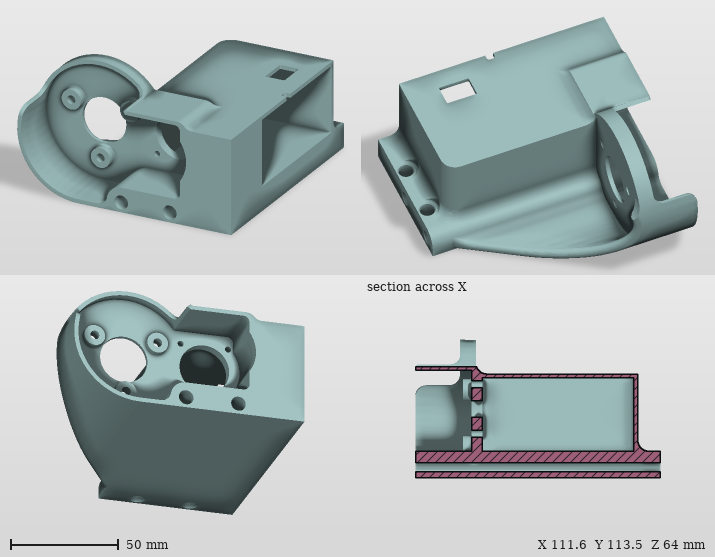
import cadquery as cq
import math


head_radius = 32.0
width = 111.6
length = 113.5
right_x = width - head_radius
bottom_z = -head_radius

wall = 2.0
blend = 5.0
rim_round = 2.0

window_depth = 20.5
head_rear = 28.0
pocket_depth = head_rear - wall
cavity_front = pocket_depth + blend
box_rear = 103.1

box_left = 22.8
box_top = 16.2
box_corner = 7.0

base_top = -19.5
screw_hole_radius = 3.5
screw_pitch = 25.3
base_round = 7.5
base_left = 14.8
base_center_x = base_left + base_round
base_center_z = base_top - base_round

step_top = 19.6
step_round_x = 51.4

pocket_radius = head_radius - wall
pocket_right = 52.9
pocket_top = 17.7
pocket_corner = 3.0
gear_x = 39.0
gear_relief_radius = 17.0
gear_hole_radius = 12.0
gear_screw_offset = 11.5
gear_screw_radius = 1.5

motor_hole_radius = 11.5
boss_circle_radius = 17.6
boss_radius = 5.0
boss_height = 4.0
boss_foot = 1.0
boss_hole_radius = 2.2

window_start = 40
window_end = 160
window_front_round = 1.7

shell_thickness = 5.0
shell_top_round = 15.0

flange_hole_x = 32.3
flange_hole_y = 108.8
flange_hole_chamfer = 0.6
spotface_radius = flange_hole_y - box_rear

port_left = 60.0
port_front = 72.1
port_width = 10.0
port_length = 15.0
port_corner = 0.6
notch_left = 76.5
notch_front = 55.7
notch_width = 4.0
notch_round = 1.4


def front_sketch(y):
    """Sketch plane at distance y whose x and y are X and Z; a negative extrusion goes rearward."""
    return cq.Workplane("XZ", origin=(0, y, 0))


def polar(radius, degrees, center=(0, 0)):
    angle = math.radians(degrees)
    return (center[0] + radius * math.cos(angle), center[1] + radius * math.sin(angle))


def block(x0, x1, y0, y1, z0, z1):
    return cq.Workplane("XY").box(x1 - x0, y1 - y0, z1 - z0, centered=False).translate((x0, y0, z0))


def base_blend(floor_z):
    """Points of the S curve from a floor to the rounded left side of the base:
    floor tangent point, middle of the hollow arc, tangent point on the base round."""
    span = base_round + blend
    center_z = floor_z + blend
    rise = center_z - base_center_z
    center_x = base_center_x - math.sqrt(span**2 - rise**2)
    end_angle = -math.degrees(math.asin(rise / span))
    center = (center_x, center_z)
    middle = polar(blend, (end_angle - 90) / 2, center)
    return (center_x, floor_z), middle, polar(blend, end_angle, center)


def base_round_middle(start):
    """Middle of the base round from a start point up to its top."""
    start_angle = math.degrees(math.atan2(start[1] - base_center_z, start[0] - base_center_x))
    return polar(base_round, (start_angle + 90) / 2, (base_center_x, base_center_z))


def make_base():
    center = (base_center_x, base_center_z)
    return (
        front_sketch(0)
        .moveTo(base_left, bottom_z)
        .lineTo(base_left, base_center_z)
        .threePointArc(polar(base_round, 135, center), (base_center_x, base_top))
        .lineTo(right_x, base_top)
        .lineTo(right_x, bottom_z)
        .close()
        .extrude(-length)
    )


def make_box():
    box = block(box_left, right_x, 0, box_rear, bottom_z, box_top)
    return box.edges("|Z and <X and >Y").fillet(box_corner)


def make_box_on_base():
    """Box and base joined by a hollow fillet along the foot of the box walls."""
    body = make_base().union(make_box())
    foot = [
        edge for edge in body.edges().vals()
        if abs(edge.Center().z - base_top) < 0.01
        and box_left - 0.1 < edge.Center().x < right_x - 0.1
        and pocket_depth < edge.Center().y < box_rear + 0.1
    ]
    return body.newObject(foot).fillet(blend)


def make_step():
    """Raised roof of the gear pocket, sloping by S curves to the box top."""
    step_bottom = box_top - wall
    drop = step_top - box_top
    half_run = math.sqrt(blend**2 - (blend - drop / 2) ** 2)
    step_end_x = step_round_x + 2 * half_run
    turn = math.degrees(math.asin(half_run / blend))
    crest = (step_round_x, step_top - blend)
    hollow = (step_end_x, box_top + blend)
    across = (
        front_sketch(0)
        .moveTo(box_left, step_bottom)
        .lineTo(box_left, step_top)
        .lineTo(step_round_x, step_top)
        .threePointArc(polar(blend, 90 - turn / 2, crest), polar(blend, 90 - turn, crest))
        .threePointArc(polar(blend, -90 - turn / 2, hollow), (step_end_x, box_top))
        .lineTo(step_end_x, step_bottom)
        .close()
        .extrude(-length)
    )
    rear_hollow = (head_rear + blend, box_top + blend)
    along = (
        cq.Workplane("YZ")
        .moveTo(0, step_bottom)
        .lineTo(0, rear_hollow[1])
        .lineTo(head_rear, rear_hollow[1])
        .threePointArc(polar(blend, 225, rear_hollow), (rear_hollow[0], box_top))
        .lineTo(rear_hollow[0], step_bottom)
        .close()
        .extrude(right_x)
    )
    return across.intersect(along)


def make_head():
    head = front_sketch(0).circle(head_radius).extrude(-head_rear)
    return head.union(block(0, right_x, 0, head_rear, bottom_z, base_top))


def make_shell():
    """Half-round tray behind the head, cut off slantwise with a rounded rim."""
    inner_radius = head_radius - shell_thickness
    floor_z = bottom_z + shell_thickness
    start, middle, end = base_blend(floor_z)
    top_angle = 180 - math.degrees(math.asin(shell_top_round / head_radius))
    mid_angle = (top_angle + 270) / 2
    tray = (
        front_sketch(pocket_depth)
        .moveTo(*polar(head_radius, top_angle))
        .threePointArc(polar(head_radius, mid_angle), (0, bottom_z))
        .lineTo(end[0], bottom_z)
        .lineTo(*end)
        .threePointArc(middle, start)
        .lineTo(0, floor_z)
        .threePointArc(polar(inner_radius, mid_angle), polar(inner_radius, top_angle))
        .close()
        .extrude(pocket_depth - length)
    )
    run_x = base_left + head_radius
    run_y = box_rear - head_rear
    slant = (
        cq.Workplane("XY", origin=(0, 0, bottom_z))
        .moveTo(-head_radius, head_rear)
        .line(2 * run_x, 2 * run_y)
        .lineTo(-head_radius, head_rear + 2 * run_y)
        .close()
        .extrude(2 * head_radius)
    )
    tray = tray.cut(slant)
    slant_normal = cq.Vector(-run_y, run_x, 0).normalized()
    slant_face = next(f for f in tray.faces().vals() if f.normalAt().dot(slant_normal) > 0.999)
    ends = (end[0], polar(head_radius, top_angle)[1])
    rim = [
        e for e in slant_face.Edges()
        if e.Center().x < ends[0] - 0.1 and min(e.startPoint().z, e.endPoint().z) < ends[1] - 1.1
    ]
    tray = tray.newObject(rim).fillet(rim_round)
    hollow = (head_rear + shell_top_round, shell_top_round)
    keep = (
        cq.Workplane("YZ", origin=(-head_radius, 0, 0))
        .moveTo(0, bottom_z)
        .lineTo(0, hollow[1])
        .lineTo(head_rear, hollow[1])
        .threePointArc(polar(shell_top_round, 225, hollow), (hollow[0], 0))
        .lineTo(length, 0)
        .lineTo(length, bottom_z)
        .close()
        .extrude(width)
    )
    return tray.intersect(keep)


def make_pocket():
    """Gear pocket open to the front."""
    start, middle, end = base_blend(-pocket_radius)
    corner_x = pocket_right - pocket_corner
    low_corner = (corner_x, base_top + pocket_corner)
    high_corner = (corner_x, pocket_top - pocket_corner)
    relief_z = math.sqrt(gear_relief_radius**2 - (pocket_right - gear_x) ** 2)
    roof_start_x = math.sqrt(pocket_radius**2 - pocket_top**2)
    return (
        front_sketch(0)
        .moveTo(0, -pocket_radius)
        .lineTo(*start)
        .threePointArc(middle, end)
        .threePointArc(base_round_middle(end), (base_center_x, base_top))
        .lineTo(corner_x, base_top)
        .threePointArc(polar(pocket_corner, -45, low_corner), (pocket_right, low_corner[1]))
        .lineTo(pocket_right, -relief_z)
        .threePointArc((gear_x + gear_relief_radius, 0), (pocket_right, relief_z))
        .lineTo(pocket_right, high_corner[1])
        .threePointArc(polar(pocket_corner, 45, high_corner), (corner_x, pocket_top))
        .lineTo(roof_start_x, pocket_top)
        .threePointArc(polar(pocket_radius, 150), (0, -pocket_radius))
        .close()
        .extrude(-pocket_depth)
    )


def make_cavity():
    """Inside of the box, open on the right."""
    cavity = block(box_left + wall, right_x, cavity_front, box_rear - wall, base_top, box_top - wall)
    return cavity.edges("|Z and <X and >Y").fillet(box_corner - wall)


def make_window():
    """Sector removed from the head wall, rounded where it meets the mounting ring."""
    reach = 2 * head_radius
    sector = (
        front_sketch(0)
        .lineTo(*polar(reach, window_start))
        .threePointArc(polar(reach, (window_start + window_end) / 2), polar(reach, window_end))
        .close()
        .extrude(-window_depth)
    )
    inside = front_sketch(0).circle(head_radius / 2).extrude(-window_depth)
    sector = sector.cut(inside)
    return sector.faces(">Y").edges("%LINE").fillet(blend)


def window_corner(body, degrees, radius):
    """Round the front corner at one end of the window."""
    x, z = polar(head_radius - wall / 2, degrees)
    corner = cq.selectors.NearestToPointSelector((x, 0, z))
    return body.edges(corner).fillet(radius)


def add_bosses(body):
    """Screw bosses on the pocket floor, each with a filleted foot."""
    bosses = front_sketch(head_rear).pushPoints(boss_points).circle(boss_radius).extrude(wall + boss_height)
    body = body.union(bosses)
    feet = [
        edge for edge in body.edges("%CIRCLE").vals()
        if edge.IsClosed() and abs(edge.Center().y - pocket_depth) < 0.01
    ]
    return body.newObject(feet).fillet(boss_foot)


def drill_front(points, radius):
    """Round holes running the whole length of the part."""
    return front_sketch(0).pushPoints(points).circle(radius).extrude(-length)


def make_flange_holes():
    """Chamfered holes through the flange, each with a spotface cut into the foot blend."""
    points = [(flange_hole_x + i * screw_pitch, flange_hole_y) for i in range(2)]
    mouth_radius = screw_hole_radius + flange_hole_chamfer
    top = cq.Workplane("XY", origin=(0, 0, base_top)).pushPoints(points)
    holes = top.circle(screw_hole_radius).extrude(bottom_z - base_top)
    mouths = top.circle(mouth_radius).extrude(-mouth_radius, taper=45)
    spotfaces = top.circle(spotface_radius).extrude(blend)
    return holes.union(mouths).union(spotfaces)


def make_roof_openings():
    port = block(
        port_left, port_left + port_width, port_front, port_front + port_length, box_top - wall, box_top
    )
    port = port.edges("|Z").fillet(port_corner)
    notch = block(notch_left, right_x, notch_front, notch_front + notch_width, box_top - wall, box_top)
    notch = notch.edges("|Z and <X").fillet(notch_round)
    return port.union(notch)


boss_points = [polar(boss_circle_radius, angle) for angle in (30, 150, 270)]
gear_screws = [
    (gear_x + i * gear_screw_offset, k * gear_screw_offset) for i in (-1, 1) for k in (-1, 1)
]
base_screws = [(base_center_x + i * screw_pitch, base_center_z) for i in range(2)]

body = make_box_on_base().cut(make_cavity())
body = body.union(make_head()).union(make_step())
body = body.cut(make_window()).cut(make_pocket())
body = window_corner(body, window_end, blend)
body = window_corner(body, window_start, window_front_round)
body = add_bosses(body)

body = body.cut(front_sketch(0).circle(motor_hole_radius).extrude(-head_rear))
body = body.cut(front_sketch(0).pushPoints(boss_points).circle(boss_hole_radius).extrude(-head_rear))
body = body.cut(front_sketch(0).center(gear_x, 0).circle(gear_hole_radius).extrude(-cavity_front))
body = body.cut(front_sketch(0).pushPoints(gear_screws).circle(gear_screw_radius).extrude(-cavity_front))
body = body.cut(drill_front(base_screws, screw_hole_radius))
body = body.cut(make_flange_holes())
body = body.cut(make_roof_openings())
result = body.union(make_shell())